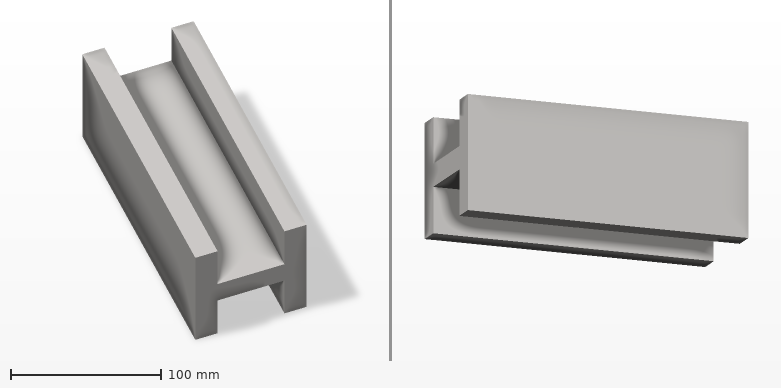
import cadquery as cq

length = 200.0
height = 80.0
width = 80.0
wall_thickness = 16.0

web_width = width - 2 * wall_thickness


def make_flange(side):
    """Upright plate on the +Y (side = 1) or -Y (side = -1) edge of the beam."""
    flange_offset = side * (width - wall_thickness) / 2
    return cq.Workplane("XY").box(length, wall_thickness, height).translate((0, flange_offset, 0))


def make_web():
    """Horizontal plate joining the flanges at mid height."""
    return cq.Workplane("XY").box(length, web_width, wall_thickness)


result = make_web()
for side in (-1, 1):
    result = result.union(make_flange(side))